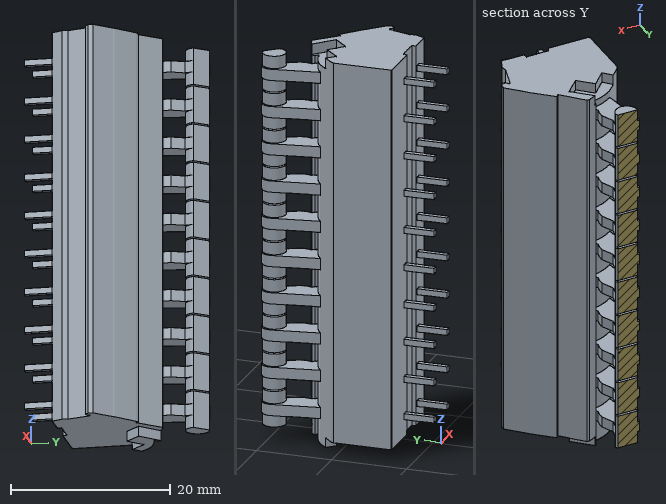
import cadquery as cq
import math


pole_count = 10
pole_pitch = 5.0
last_pole_from_end = 3.16

housing_length = 51.0
housing_width = 15.0
base_width = 12.4
back_wall_height = 7.75
lower_edge_chamfer = 0.12
crest_height = 13.03

groove_left = 5.8
groove_right = 9.2
groove_depth = 0.55
groove_wall_run = 0.25

seat_start = (2.4, 10.35)
seat_middle = (3.9, 11.2)
seat_end = (5.7, 11.65)

tongue_length = 1.3
recess_depth = 1.4

pin_width = 0.74
pin_thickness = 0.8
pin_length = 4.0
pin_embed = 1.0
first_pin_row = 5.06
pin_row_spacing = 5.0

overall_height = 22.27
lever_top = overall_height - pin_length
lever_thickness = 1.5
rod_length = 4.8
rod_radius = 1.52
rod_center = (3.2, lever_top - rod_radius)
rod_flat_end_angle = math.radians(-8.7)

grip_flat_start = (rod_center[0], lever_top)
grip_flat_end = (
    rod_center[0] + rod_radius * math.cos(rod_flat_end_angle),
    rod_center[1] + rod_radius * math.sin(rod_flat_end_angle),
)

last_pole_z = housing_length - last_pole_from_end
pole_heights = [last_pole_z - i * pole_pitch for i in range(pole_count)]


def plane_at(z):
    """Sketch plane parallel to XY at the given height."""
    return cq.Workplane("XY").workplane(offset=z)


def housing_prism(start_z, length):
    """Housing cross-section, counter-clockwise from the lower back corner."""
    return (
        plane_at(start_z)
        .moveTo(0, lower_edge_chamfer)
        .lineTo(lower_edge_chamfer, 0)
        .lineTo(groove_left, 0)
        .lineTo(groove_left + groove_wall_run, groove_depth)
        .lineTo(groove_right, groove_depth)
        .lineTo(groove_right, 0)
        .lineTo(base_width, 0)
        .lineTo(13.05, 1.4)
        .lineTo(12.9, 2.1)
        .lineTo(13.75, 5.05)
        .lineTo(13.95, 5.15)
        .lineTo(14.35, 4.73)
        .lineTo(14.6, 4.73)
        .lineTo(housing_width, 5.15)
        .lineTo(housing_width, 5.75)
        .lineTo(12.8, 7.95)
        .lineTo(12.7, 8.1)
        .lineTo(10.15, 10.4)
        .lineTo(9.9, 10.53)
        .lineTo(9.63, 10.2)
        .lineTo(6.95, crest_height)
        .lineTo(6.6, crest_height)
        .lineTo(5.4, 12.5)
        .lineTo(5.3, 12.1)
        .lineTo(*seat_end)
        .threePointArc(seat_middle, seat_start)
        .lineTo(0.15, 8.05)
        .lineTo(0, back_wall_height)
        .close()
        .extrude(length)
    )


def coupling_prism(start_z, length):
    """W-shaped coupling section, reaching beyond the lever seat so that the housing outline bounds it."""
    return (
        plane_at(start_z)
        .moveTo(0.9, 9.8)
        .lineTo(2.4, 8.17)
        .lineTo(4.25, 10.1)
        .lineTo(6.15, 8.3)
        .lineTo(8.05, 10.2)
        .lineTo(5.0, 13.1)
        .close()
        .extrude(length)
    )


def make_tongue():
    """Coupling tongue below the lower end face, trimmed to the housing outline."""
    blank = coupling_prism(-tongue_length, tongue_length)
    return blank.intersect(housing_prism(-tongue_length, tongue_length))


def make_lever(pole_z):
    """Flat lever arm rooted in the seat, with a grip rod across its tip."""
    arm = (
        plane_at(pole_z - lever_thickness / 2)
        .moveTo(2.4, 9.9)
        .lineTo(2.4, 10.4)
        .lineTo(1.4, 16.5)
        .threePointArc((1.65, 17.65), (2.7, lever_top))
        .lineTo(*grip_flat_start)
        .lineTo(*grip_flat_end)
        .lineTo(4.45, 15.4)
        .lineTo(5.2, 13.75)
        .lineTo(5.2, 13.0)
        .lineTo(5.05, 12.4)
        .lineTo(5.4, 11.9)
        .lineTo(5.4, 11.1)
        .close()
        .extrude(lever_thickness)
    )
    rod = (
        plane_at(pole_z - rod_length / 2)
        .moveTo(*grip_flat_start)
        .threePointArc((rod_center[0] - rod_radius, rod_center[1]), grip_flat_end)
        .close()
        .extrude(rod_length)
    )
    return arm.union(rod)


def make_pins(pole_z):
    """Pair of rectangular pins below the base, rooted inside the housing."""
    pin_center_y = (pin_embed - pin_length) / 2
    rows = [first_pin_row, first_pin_row + pin_row_spacing]
    return (
        plane_at(pole_z - pin_thickness / 2)
        .pushPoints([(x, pin_center_y) for x in rows])
        .rect(pin_width, pin_length + pin_embed)
        .extrude(pin_thickness)
    )


result = housing_prism(0, housing_length)
result = result.cut(coupling_prism(housing_length - recess_depth, recess_depth))
result = result.union(make_tongue())
for pole_height in pole_heights:
    result = result.union(make_lever(pole_height))
    result = result.union(make_pins(pole_height))